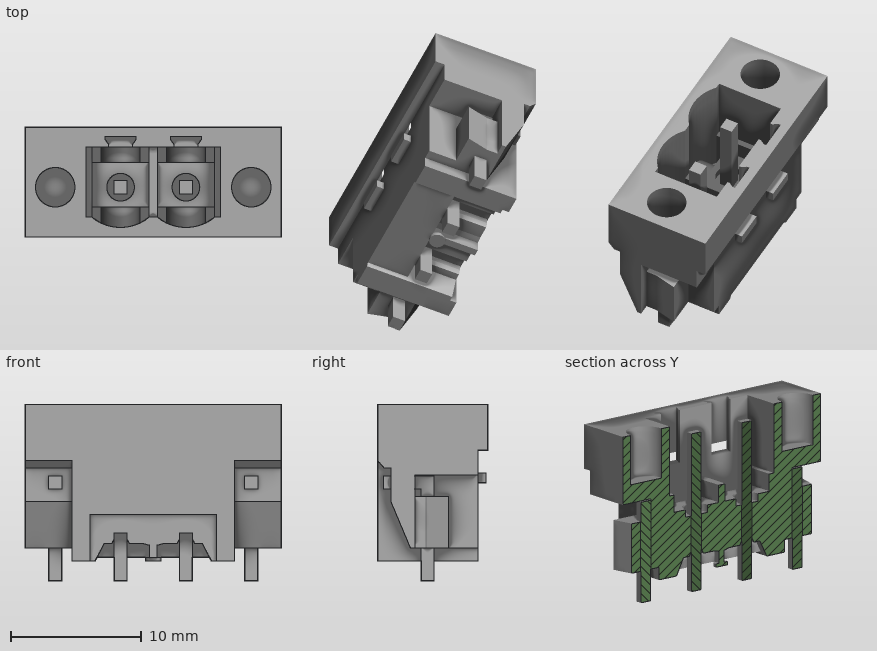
import cadquery as cq


length = 19.6
height = 12.0
front_y = -3.82
back_y = 4.6
lower_back_y = 3.86
overhang_z = 8.47
center_half_width = 6.23

pitch = 5.0
pin_width = 1.0
pin_tip_z = -1.5
contact_top_z = 11.05
arm_top_z = 6.5
arm_front_y = -3.37
pole_xs = [-pitch / 2, pitch / 2]
flange_x = 1.5 * pitch
sides = [-1, 1]

end_bottom_z = 1.0
end_face_y = -2.8
end_chamfer_depth = 0.49
end_chamfer_height = 0.55
end_relief_top_z = 7.13
end_slope_top_z = 4.55
end_slope_bottom_y = -1.31
screw_hole_radius = 1.5
screw_hole_depth = 3.92

pocket_top_z = 6.59
pocket_front_y = -0.98
pocket_inner_x = flange_x - pin_width / 2
wedge_top_z = 4.95
wedge_front_x = 8.92
wedge_bend_y = -0.12
wedge_back_x = 9.33
wedge_back_y = 1.6

cavity_half_width = 5.14
cavity_back_y = 3.08
cavity_front_y = -2.3
cavity_arc_y = -3.08
cell_inner_x = 0.33
cell_outer_x = 4.68
shelf_z = 6.5
cell_floor_z = 3.37
block_top_z = 5.14
block_front_y = -1.53
block_back_y = 1.9
rib_radius = 1.49
contact_recess_radius = 1.05
contact_recess_depth = 0.59

slot_half_width = 1.18
slot_neck_half_width = 0.92
slot_shoulder_y = 3.65
slot_neck_y = 3.27
slot_floor_z = 7.82

lug_width = 2 * slot_half_width
lug_length = 0.6
lug_bottom_z = 5.98
lug_top_z = 6.75

recess_half_width = 4.82
recess_top_z = 3.57
recess_depth = 0.53
base_z = 0.3
foot_inner_x = 4.45
undercut_back_y = pin_width / 2
undercut_top_z = 1.33
undercut_half_width = 3.76
notch_half_width = pin_width / 2
notch_mouth_half_width = 0.69
notch_mouth_top_z = 1.67
notch_top_z = 2.14
tab_half_width = 0.27
tab_root_half_width = 0.75
tab_root_z = 1.22
button_radius = 0.6


def box(x0, x1, y0, y1, z0, z1):
    """Block between opposite corners."""
    return cq.Workplane("XY").box(x1 - x0, y1 - y0, z1 - z0, centered=False).translate((x0, y0, z0))


def side_extrusion(points, x0, x1):
    """(Y, Z) outline extruded along X."""
    return cq.Workplane("YZ").polyline(points).close().extrude(x1 - x0).translate((x0, 0, 0))


def front_extrusion(points, y0, y1):
    """(X, Z) outline extruded along Y."""
    return cq.Workplane("XZ").polyline(points).close().extrude(y0 - y1).translate((0, y0, 0))


def mirrored(shape, side):
    """Shape built at +X, moved to the given side."""
    return shape if side > 0 else shape.mirror("YZ")


def housing_shell():
    """Full-length upper body, central body down to the board, and stepped back."""
    upper = box(-length / 2, length / 2, front_y, back_y, overhang_z, height)
    ends = box(-length / 2, length / 2, front_y, lower_back_y, end_bottom_z, overhang_z)
    center = box(-center_half_width, center_half_width, front_y, lower_back_y, 0, overhang_z)
    return upper.union(ends).union(center)


def end_relief():
    """Material removed from the front of one end, below its chamfer."""
    outline = [
        (front_y, end_relief_top_z + end_chamfer_height),
        (front_y + end_chamfer_depth, end_relief_top_z),
        (end_face_y, end_relief_top_z),
        (end_face_y, end_slope_top_z),
        (end_slope_bottom_y, end_bottom_z),
        (front_y, end_bottom_z),
    ]
    return side_extrusion(outline, center_half_width, length / 2)


def side_pocket():
    """Pocket in one end, open to the side, back and bottom, less its wedge block."""
    pocket = box(pocket_inner_x, length / 2, pocket_front_y, lower_back_y, end_bottom_z, pocket_top_z)
    wedge = (
        cq.Workplane("XY")
        .polyline([
            (pocket_inner_x, pocket_front_y),
            (wedge_front_x, pocket_front_y),
            (wedge_front_x, wedge_bend_y),
            (wedge_back_x, wedge_back_y),
            (pocket_inner_x, wedge_back_y),
        ])
        .close()
        .extrude(wedge_top_z - end_bottom_z)
        .translate((0, 0, end_bottom_z))
    )
    return pocket.cut(wedge)


def screw_hole():
    """Blind screw hole above one flange pin."""
    hole = cq.Workplane("XY").circle(screw_hole_radius).extrude(screw_hole_depth)
    return hole.translate((flange_x, 0, height - screw_hole_depth))


def cell_void(pole_x):
    """Void of one pole, with a bowed front, from its floor up to the top face."""
    direction = 1 if pole_x > 0 else -1
    inner_x = direction * cell_inner_x
    outer_x = direction * cell_outer_x
    middle_x = (inner_x + outer_x) / 2
    return (
        cq.Workplane("XY")
        .moveTo(inner_x, cavity_back_y)
        .lineTo(inner_x, cavity_front_y)
        .threePointArc((middle_x, cavity_arc_y), (outer_x, cavity_front_y))
        .lineTo(outer_x, cavity_back_y)
        .close()
        .extrude(height - cell_floor_z)
        .translate((0, 0, cell_floor_z))
    )


def cross_block(pole_x):
    """Flat-topped block across one pole, with a round recess about its pin."""
    block = box(
        pole_x - pitch / 2, pole_x + pitch / 2, block_front_y, block_back_y, cell_floor_z, block_top_z
    )
    recess = cq.Workplane("XY").circle(contact_recess_radius).extrude(contact_recess_depth)
    return block.cut(recess.translate((pole_x, 0, block_top_z - contact_recess_depth)))


def floor_rib(pole_x, y0, y1):
    """Half-round rib along Y on the floor of one pole; its lower half lies in the floor."""
    rib = cq.Workplane("XZ").circle(rib_radius).extrude(y0 - y1)
    return rib.translate((pole_x, y0, cell_floor_z))


def cell_cut(pole_x):
    """Void of one pole around its cross block and the ribs before and behind the block."""
    return (
        cell_void(pole_x)
        .cut(cross_block(pole_x))
        .cut(floor_rib(pole_x, cavity_arc_y, block_front_y))
        .cut(floor_rib(pole_x, block_back_y, cavity_back_y))
    )


def coding_slot(pole_x):
    """Dovetail slot in the back wall, open to the back below the overhang."""
    half = [
        (slot_half_width, lower_back_y),
        (slot_half_width, slot_shoulder_y),
        (slot_neck_half_width, slot_neck_y),
        (slot_neck_half_width, cavity_back_y),
    ]
    outline = half + [(-x, y) for x, y in reversed(half)]
    slot = cq.Workplane("XY").polyline(outline).close().extrude(height - slot_floor_z)
    return slot.translate((pole_x, 0, slot_floor_z))


def back_lug(pole_x):
    """Lug on the back wall behind one pole."""
    return box(
        pole_x - lug_width / 2, pole_x + lug_width / 2,
        lower_back_y, lower_back_y + lug_length,
        lug_bottom_z, lug_top_z,
    )


def underside_cut():
    """Front recess, clearance between the feet, and the notched undercut that frees the pins."""
    recess = box(
        -recess_half_width, recess_half_width, front_y, front_y + recess_depth, 0, recess_top_z
    )
    foot_slope = (foot_inner_x - undercut_half_width) / undercut_top_z
    base_half_width = foot_inner_x - foot_slope * base_z
    clearance_outline = [
        (-foot_inner_x, 0),
        (-base_half_width, base_z),
        (base_half_width, base_z),
        (foot_inner_x, 0),
    ]
    clearance = front_extrusion(clearance_outline, front_y, lower_back_y)
    pole_x = pitch / 2
    half_outline = [
        (base_half_width, base_z),
        (undercut_half_width, undercut_top_z),
        (pole_x + notch_mouth_half_width, undercut_top_z),
        (pole_x + notch_half_width, notch_mouth_top_z),
        (pole_x + notch_half_width, notch_top_z),
        (pole_x - notch_half_width, notch_top_z),
        (pole_x - notch_half_width, notch_mouth_top_z),
        (pole_x - notch_mouth_half_width, undercut_top_z),
        (tab_root_half_width, undercut_top_z),
        (tab_half_width, tab_root_z),
        (tab_half_width, base_z),
    ]
    cut = recess.union(clearance)
    for side in sides:
        cut = cut.union(mirrored(front_extrusion(half_outline, front_y, undercut_back_y), side))
    return cut


def contact_pin(pole_x):
    """Straight square contact pin."""
    half = pin_width / 2
    return box(pole_x - half, pole_x + half, -half, half, pin_tip_z, contact_top_z)


def flange_pin(x):
    """Square L-shaped pin whose arm reaches out through the front of its end."""
    half = pin_width / 2
    leg = box(x - half, x + half, -half, half, pin_tip_z, arm_top_z)
    arm = box(x - half, x + half, arm_front_y, half, arm_top_z - pin_width, arm_top_z)
    return leg.union(arm)


def housing_body(pins):
    """Housing with a matching hole for every pin."""
    body = housing_shell()
    for side in sides:
        body = body.cut(mirrored(end_relief(), side))
        body = body.cut(mirrored(side_pocket(), side))
        body = body.cut(mirrored(screw_hole(), side))
    body = body.cut(
        box(-cavity_half_width, cavity_half_width, cavity_front_y, cavity_back_y, shelf_z, height)
    )
    for pole_x in pole_xs:
        body = body.cut(cell_cut(pole_x))
        body = body.cut(coding_slot(pole_x))
        body = body.union(back_lug(pole_x))
    body = body.cut(underside_cut())
    body = body.union(cq.Workplane("XY").circle(button_radius).extrude(base_z))
    for pin in pins:
        body = body.cut(pin)
    return body


contact_pins = [contact_pin(pole_x) for pole_x in pole_xs]
flange_pins = [flange_pin(side * flange_x) for side in sides]
pins = contact_pins + flange_pins
housing = housing_body(pins)

result = cq.Compound.makeCompound([housing.solids().val(), *[pin.val() for pin in pins]])